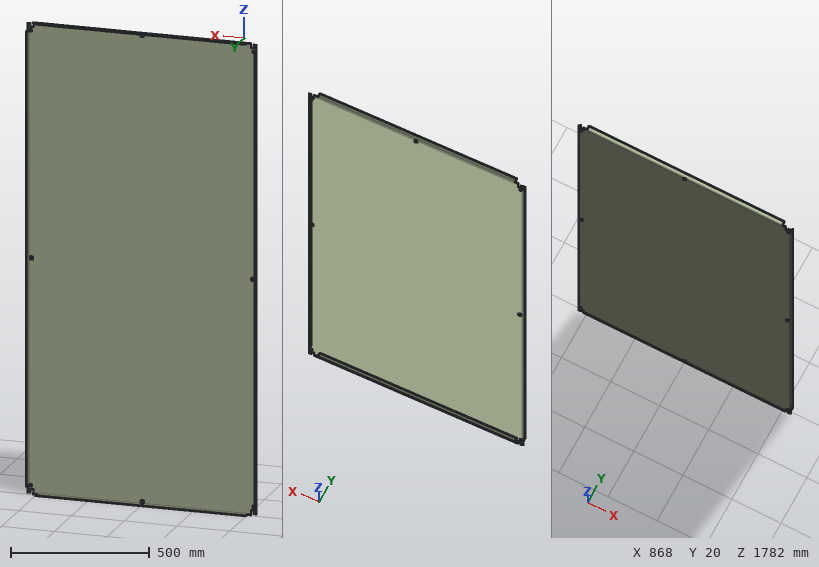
import cadquery as cq

width = 868.0
height = 1782.0
depth = 20.0

thickness = 2.0
bend_radius = 4.1

side_wall_setback = 32.0
end_wall_setback = 35.0
side_fold_setback = 5.0
relief_inset = 10.0
relief_width = 10.0
relief_depth = 18.0

middle_hole_diameter = 11.5
side_hole_inset = 15.0
end_hole_inset = 10.0
corner_hole_diameter = 9.0
corner_hole_inset = 10.0
corner_hole_drop = 32.0

half_width = width / 2
half_height = height / 2
end_fold_setback = relief_inset + relief_width
signs = (-1, 1)


def block(x_size, y_size, z_size):
    """Box centred on X and Z that reaches back (+Y) from the panel's front face."""
    return cq.Workplane("XY").box(x_size, y_size, z_size).translate((0, (y_size - depth) / 2, 0))


def channel(span, length):
    """Channel along Z, open toward +Y, with a rounded fold along each side."""
    inner_radius = bend_radius - thickness
    outer = block(span, depth, length).edges("<Y and |Z").fillet(bend_radius)
    inner = block(span - 2 * thickness, depth, length).edges("<Y and |Z").fillet(inner_radius)
    return outer.cut(inner.translate((0, thickness, 0)))


def folded_channel(span, fold_length, wall_length):
    """Channel whose walls are shorter than the folds they rise from."""
    folds = channel(span, fold_length).intersect(block(span, bend_radius, fold_length))
    return folds.union(channel(span, wall_length))


def at_corners(x, z):
    """The four mirrored copies of a point on the face."""
    return [(sx * x, sz * z) for sx in signs for sz in signs]


def face_points(points):
    """Workplane behind the panel, with the given (x, z) points; extruding cuts toward -Y."""
    return cq.Workplane("XZ", origin=(0, depth, 0)).pushPoints(points)


def hole_cutters(points, diameter):
    """Cylinders that drill through the face at the given (x, z) points."""
    return face_points(points).circle(diameter / 2).extrude(2 * depth)


sides = folded_channel(width, height - 2 * side_fold_setback, height - 2 * side_wall_setback)
ends = folded_channel(height, width - 2 * end_fold_setback, width - 2 * end_wall_setback)
panel = sides.union(ends.rotate((0, 0, 0), (0, 1, 0), 90))

slot_x = half_width - relief_inset - relief_width / 2
slot_points = at_corners(slot_x, half_height)
relief_slots = face_points(slot_points).rect(relief_width, 2 * relief_depth).extrude(2 * depth)

middle_x = half_width - side_hole_inset
middle_z = half_height - end_hole_inset
middle_points = [(sx * middle_x, 0) for sx in signs] + [(0, sz * middle_z) for sz in signs]
middle_holes = hole_cutters(middle_points, middle_hole_diameter)

corner_points = at_corners(half_width - corner_hole_inset, half_height - corner_hole_drop)
corner_holes = hole_cutters(corner_points, corner_hole_diameter)

result = panel.cut(relief_slots).cut(middle_holes).cut(corner_holes)